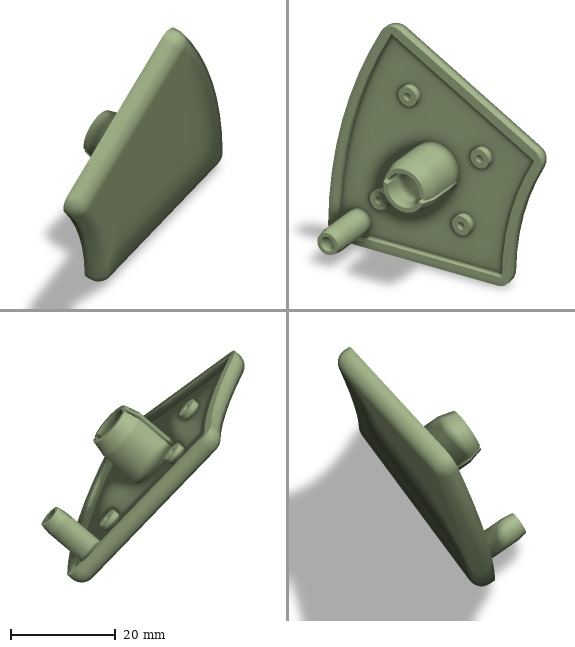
import cadquery as cq
import math

SECTOR_ANGLE = 30.0
MID_ANGLE = SECTOR_ANGLE / 2
POCKET_OUTER_RADIUS = 91.3
POCKET_INNER_RADIUS = 54.2

RIM_WIDTH = 1.95
CORNER_RADIUS = 3.0
PLATE_THICKNESS = 4.0
FRONT_EDGE_RADIUS = 2.8
POCKET_DEPTH = 1.5

PIN_PROJECTION = 10.0
BORE_TAPER = 0.15

TUBE_DISTANCE = 72.55
TUBE_RADIUS = 5.35
TUBE_TIP_RADIUS = 4.6
TUBE_CONE_LENGTH = 3.0
TUBE_BORE_RADIUS = 3.65
SLOT_WIDTH = 1.0

PEG_Y = 87.15
PEG_Z = 2.6
PEG_RADIUS = 2.6
PEG_TIP_RADIUS = 2.3
PEG_CONE_LENGTH = 2.0
PEG_BORE_RADIUS = 1.55
PEG_CLEARANCE_RADIUS = 3.6

BOSS_PAIRS = [(82.4, 8.7), (63.95, 7.2)]
BOSS_RADIUS = 2.0
BOSS_HOLE_RADIUS = 0.8


def polar(radius, angle):
    """Return the (Y, Z) point at a distance and angle from the apex."""
    return (radius * math.cos(math.radians(angle)), radius * math.sin(math.radians(angle)))


def sector_outline():
    """Pocket outline: two straight sides and two concentric arcs."""
    return (
        cq.Workplane("YZ")
        .moveTo(*polar(POCKET_INNER_RADIUS, 0))
        .lineTo(*polar(POCKET_OUTER_RADIUS, 0))
        .threePointArc(polar(POCKET_OUTER_RADIUS, MID_ANGLE), polar(POCKET_OUTER_RADIUS, SECTOR_ANGLE))
        .lineTo(*polar(POCKET_INNER_RADIUS, SECTOR_ANGLE))
        .threePointArc(polar(POCKET_INNER_RADIUS, MID_ANGLE), polar(POCKET_INNER_RADIUS, 0))
        .close()
    )


def cylinder(center, radius, length):
    """Cylinder running from the back face in the +X direction."""
    return cq.Workplane("YZ").center(*center).circle(radius).extrude(length)


def make_plate():
    """Plate with rounded corners and front edge, hollowed from the back."""
    plate = (
        sector_outline()
        .offset2D(RIM_WIDTH, "intersection")
        .extrude(PLATE_THICKNESS)
        .edges("|X")
        .fillet(CORNER_RADIUS)
        .faces(">X")
        .edges()
        .fillet(FRONT_EDGE_RADIUS)
    )
    pocket = sector_outline().extrude(POCKET_DEPTH)
    clearance = cylinder((PEG_Y, PEG_Z), PEG_CLEARANCE_RADIUS, POCKET_DEPTH)
    return plate.cut(pocket).cut(clearance)


def make_pin(center, radius, tip_radius, cone_length, bore_radius):
    """Hollow pin with a conical tip and a bore narrowing toward the floor."""
    tip_x = -PIN_PROJECTION
    profile = [
        (POCKET_DEPTH, bore_radius - BORE_TAPER),
        (POCKET_DEPTH, radius),
        (tip_x + cone_length, radius),
        (tip_x, tip_radius),
        (tip_x, bore_radius),
    ]
    pin = cq.Workplane("XY").polyline(profile).close().revolve(360, (0, 0, 0), (1, 0, 0))
    return pin.translate((0, *center))


def make_slotted_tube():
    """Central tube split down to the floor by a slot along the mid line."""
    center = polar(TUBE_DISTANCE, MID_ANGLE)
    tube = make_pin(center, TUBE_RADIUS, TUBE_TIP_RADIUS, TUBE_CONE_LENGTH, TUBE_BORE_RADIUS)
    slot = (
        cq.Workplane("YZ", origin=(-PIN_PROJECTION, *center))
        .transformed(rotate=(0, 0, MID_ANGLE))
        .rect(2 * TUBE_RADIUS + SLOT_WIDTH, SLOT_WIDTH)
        .extrude(PIN_PROJECTION + POCKET_DEPTH)
    )
    return tube.cut(slot)


def make_boss(center):
    """Round boss, flush with the rim, with a hole down to the pocket floor."""
    boss = cylinder(center, BOSS_RADIUS, POCKET_DEPTH)
    return boss.cut(cylinder(center, BOSS_HOLE_RADIUS, POCKET_DEPTH))


result = make_plate().union(make_slotted_tube())
result = result.union(
    make_pin((PEG_Y, PEG_Z), PEG_RADIUS, PEG_TIP_RADIUS, PEG_CONE_LENGTH, PEG_BORE_RADIUS)
)
for distance, spread in BOSS_PAIRS:
    for side in (-1, 1):
        result = result.union(make_boss(polar(distance, MID_ANGLE + side * spread)))